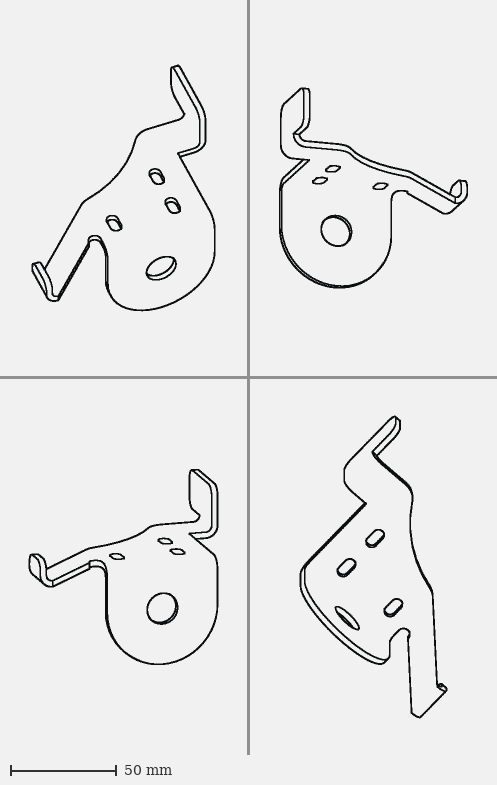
import cadquery as cq

thickness = 3.0
inner_bend = 3.0
outer_bend = inner_bend + thickness

total_x = 99.5
total_y = 107.0

ear_width = 36.1
ear_top = 25.0
neck_left = 16.3
corner_radius = 5.0

tab_width = 18.0
tab_left = total_x - tab_width
tab_top = 12.8

flange_right = 82.1
flange_front = 38.4
flange_back = 92.9
flange_radius = (flange_back - flange_front) / 2
flange_middle_y = (flange_back + flange_front) / 2
flange_hole_z = -19.8
flange_hole_diameter = 15.0

sweep_start_y = 79.8
sweep_end_x = 47.7
sweep_radius = 60.0
blend_radius = 10.0
relief_radius = 3.0
relief_x = 72.9

slot_length = 10.1
slot_width = 5.5
slot_x = 66.1
slot_y = 48.0
slot_pitch_x = 20.0
slot_pitch_y = 30.0


def box(x0, x1, y0, y1, z0, z1):
    """Axis-aligned block between two opposite corners."""
    return cq.Workplane("XY").box(x1 - x0, y1 - y0, z1 - z0, centered=False).translate((x0, y0, z0))


def bend(width):
    """Quarter-round bend along X, rising from a plate at -Y to a wall at +Y.

    The bend axis is the X axis, with the bend starting at x = 0.
    """
    ring = cq.Workplane("YZ").circle(outer_bend).circle(inner_bend).extrude(width)
    return ring.intersect(box(0, width, 0, outer_bend, -outer_bend, 0))


def make_plate():
    arm_start_y = outer_bend
    arm_end_y = total_y - outer_bend
    sweep_end_y = tab_left + arm_start_y - sweep_end_x
    relief_front = flange_front - 2 * relief_radius
    arm_inner_x = total_x + arm_start_y - relief_front
    flange_bend_x = flange_right - outer_bend

    plate = (
        cq.Workplane("XY")
        .moveTo(neck_left, arm_end_y)
        .lineTo(neck_left, sweep_start_y)
        .radiusArc((sweep_end_x, sweep_end_y), sweep_radius)
        .lineTo(tab_left, arm_start_y)
        .lineTo(total_x, arm_start_y)
        .lineTo(arm_inner_x, relief_front)
        .lineTo(relief_x, relief_front)
        .threePointArc(
            (relief_x - relief_radius, flange_front - relief_radius),
            (relief_x, flange_front),
        )
        .lineTo(flange_bend_x, flange_front)
        .lineTo(flange_bend_x, flange_back)
        .lineTo(ear_width, flange_back)
        .lineTo(ear_width, arm_end_y)
        .close()
        .extrude(thickness)
    )
    for x, y in ((neck_left, sweep_start_y), (sweep_end_x, sweep_end_y)):
        corner = cq.selectors.NearestToPointSelector((x, y, thickness / 2))
        plate = plate.edges(corner).fillet(blend_radius)

    slot_centres = [
        (slot_x, slot_y),
        (slot_x, slot_y + slot_pitch_y),
        (slot_x - slot_pitch_x, slot_y + slot_pitch_y),
    ]
    slots = cq.Workplane("XY").pushPoints(slot_centres).slot2D(slot_length, slot_width).extrude(thickness)
    return plate.cut(slots)


def make_ear():
    wall = box(0, ear_width, total_y - thickness, total_y, outer_bend, ear_top)
    wall = wall.edges("|Y and (<X or >Z)").fillet(corner_radius)
    neck_bend = bend(ear_width - neck_left).translate((neck_left, total_y - outer_bend, outer_bend))
    return wall.union(neck_bend)


def make_tab():
    wall = box(tab_left, total_x, 0, thickness, outer_bend, tab_top)
    wall = wall.edges("|Y and >Z").fillet(corner_radius)
    tab_bend = bend(tab_width).mirror("XZ").translate((tab_left, outer_bend, outer_bend))
    return wall.union(tab_bend)


def make_flange():
    bend_end_z = thickness - outer_bend
    wall = (
        cq.Workplane("YZ", origin=(flange_right - thickness, 0, 0))
        .moveTo(flange_back, bend_end_z)
        .lineTo(flange_back, flange_hole_z)
        .threePointArc(
            (flange_middle_y, flange_hole_z - flange_radius),
            (flange_front, flange_hole_z),
        )
        .lineTo(flange_front, bend_end_z)
        .close()
        .extrude(thickness)
    )
    hole = (
        cq.Workplane("YZ", origin=(flange_right - thickness, flange_middle_y, flange_hole_z))
        .circle(flange_hole_diameter / 2)
        .extrude(thickness)
    )
    flange_bend = (
        bend(flange_back - flange_front)
        .mirror("XY")
        .rotate((0, 0, 0), (0, 0, 1), -90)
        .translate((flange_right - outer_bend, flange_back, bend_end_z))
    )
    return wall.cut(hole).union(flange_bend)


result = make_plate().union(make_ear()).union(make_tab()).union(make_flange())